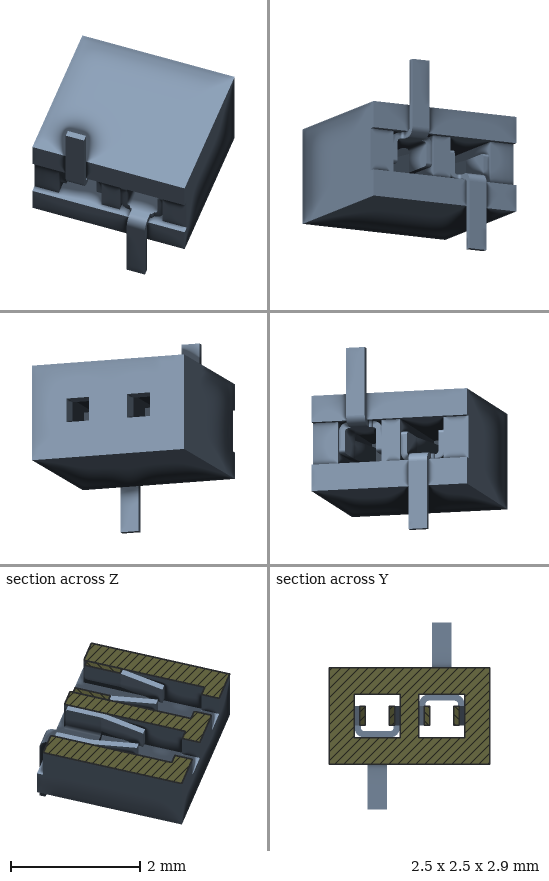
import cadquery as cq

WIDTH = 2.5
DEPTH = 2.5
HEIGHT = 2.9

SHEET = 0.1
INNER_BEND = 0.05
OUTER_BEND = SHEET + INNER_BEND

HOUSING_DEPTH = DEPTH - OUTER_BEND
HOUSING_HEIGHT = 1.5
GROOVE_HEIGHT = 0.667
GROOVE_DEPTH = SHEET
PITCH = 1.0
POCKET_WIDTH = 0.7
BACK_WALL = 0.29
PIN_HOLE = 0.375

CORNER_RADIUS = 0.05
CHANNEL_FRONT = GROOVE_DEPTH + CORNER_RADIUS
CHANNEL_LENGTH = 0.58
TINE_LENGTH = 0.725
TINE_HEIGHT = 0.3
TINE_GAP = 0.225
LEG_WIDTH = 0.3

WEB_TOP = GROOVE_HEIGHT / 2
WEB_BOTTOM = WEB_TOP - SHEET
WALL_BOTTOM = -TINE_HEIGHT / 2
CHANNEL_BACK = CHANNEL_FRONT + CHANNEL_LENGTH


def block(x_size, z_size, y_start, y_end):
    """Box centred on X = 0 and Z = 0 that spans y_start to y_end."""
    return cq.Workplane("XY").box(x_size, y_end - y_start, z_size).translate((0, (y_start + y_end) / 2, 0))


def make_housing():
    """Block with a groove across its front and two pockets that open into pin holes at the back."""
    pocket_back = HOUSING_DEPTH - BACK_WALL
    housing = block(WIDTH, HOUSING_HEIGHT, 0, HOUSING_DEPTH)
    housing = housing.cut(block(WIDTH, GROOVE_HEIGHT, 0, GROOVE_DEPTH))
    pocket = block(POCKET_WIDTH, GROOVE_HEIGHT, 0, pocket_back)
    pin_hole = block(PIN_HOLE, PIN_HOLE, pocket_back, HOUSING_DEPTH)
    for x in (-PITCH / 2, PITCH / 2):
        housing = housing.cut(pocket.translate((x, 0, 0)))
        housing = housing.cut(pin_hole.translate((x, 0, 0)))
    return housing


def make_channel():
    """U-shaped channel, open downward, with bent top corners and rounded front ends on its walls."""
    wall_height = WEB_TOP - WALL_BOTTOM
    middle_z = (WEB_TOP + WALL_BOTTOM) / 2
    outside = block(POCKET_WIDTH, wall_height, CHANNEL_FRONT, CHANNEL_BACK).translate((0, 0, middle_z))
    outside = outside.edges("|Y and >Z").fillet(OUTER_BEND)
    inside = block(POCKET_WIDTH - 2 * SHEET, wall_height, CHANNEL_FRONT, CHANNEL_BACK)
    inside = inside.translate((0, 0, middle_z - SHEET)).edges("|Y and >Z").fillet(INNER_BEND)
    return outside.cut(inside).edges("|X and <Y and <Z").fillet(CORNER_RADIUS)


def make_tine():
    """Right-hand contact tine, slanting inward from the back of a channel wall."""
    root = POCKET_WIDTH / 2 - SHEET
    tip = TINE_GAP / 2
    tine_back = CHANNEL_BACK + TINE_LENGTH
    return (
        cq.Workplane("XY", origin=(0, 0, WALL_BOTTOM))
        .moveTo(root, CHANNEL_BACK)
        .lineTo(tip, tine_back)
        .lineTo(tip + SHEET, tine_back)
        .lineTo(root + SHEET, CHANNEL_BACK)
        .close()
        .extrude(TINE_HEIGHT)
    )


def make_tab():
    """Flat tab from the channel web to the leg bend, flaring where it leaves the web."""
    half = LEG_WIDTH / 2
    flare_front = CHANNEL_FRONT - CORNER_RADIUS
    return (
        cq.Workplane("XY", origin=(0, 0, WEB_BOTTOM))
        .moveTo(-half, 0)
        .lineTo(half, 0)
        .lineTo(half, flare_front)
        .radiusArc((half + CORNER_RADIUS, CHANNEL_FRONT), -CORNER_RADIUS)
        .lineTo(-half - CORNER_RADIUS, CHANNEL_FRONT)
        .radiusArc((-half, flare_front), -CORNER_RADIUS)
        .close()
        .extrude(SHEET)
    )


def make_leg():
    """Quarter bend in front of the housing and the straight leg that rises from it."""
    leg_bottom = WEB_BOTTOM + OUTER_BEND
    leg_top = HEIGHT / 2
    return (
        cq.Workplane("YZ", origin=(-LEG_WIDTH / 2, 0, 0))
        .moveTo(0, WEB_BOTTOM)
        .radiusArc((-OUTER_BEND, leg_bottom), OUTER_BEND)
        .lineTo(-OUTER_BEND, leg_top)
        .lineTo(-INNER_BEND, leg_top)
        .lineTo(-INNER_BEND, leg_bottom)
        .radiusArc((0, WEB_TOP), -INNER_BEND)
        .close()
        .extrude(LEG_WIDTH)
    )


def make_terminal():
    """Terminal of the left pocket, with its leg pointing up."""
    tine = make_tine()
    terminal = make_channel().union(make_tab()).union(make_leg())
    terminal = terminal.union(tine).union(tine.mirror("YZ"))
    return terminal.translate((-PITCH / 2, 0, 0))


housing = make_housing()
terminals = []
for turn in (0, 180):
    terminals.append(make_terminal().rotate((0, 0, 0), (0, 1, 0), turn).val())

result = cq.Compound.makeCompound([housing.val(), *terminals])